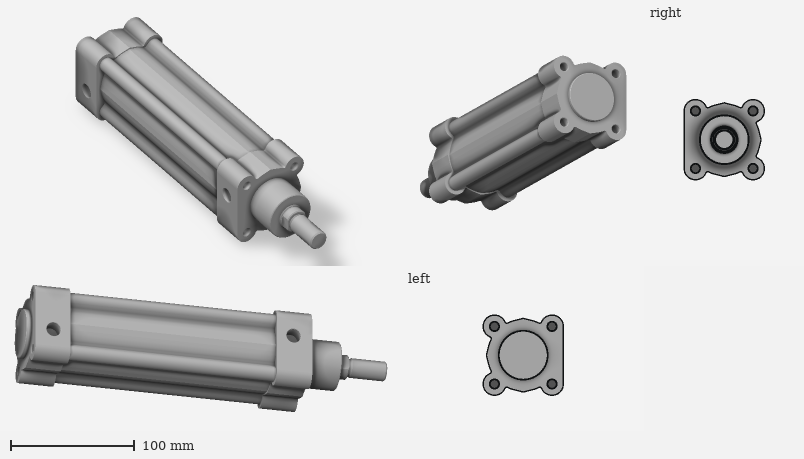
import cadquery as cq
import math


boss_length = 4.0
cap_length = 29.4
caps_overall = 231.0
collar_length = 28.2
shoulder_from_front_cap = 37.0
thread_length = 32.0

rear_cap_start = boss_length
rear_cap_end = rear_cap_start + cap_length
front_cap_end = rear_cap_start + caps_overall
front_cap_start = front_cap_end - cap_length
collar_end = front_cap_end + collar_length
rod_shoulder = front_cap_end + shoulder_from_front_cap
rod_end = rod_shoulder + thread_length

outer_width = 65.0
screw_pitch = 46.5
corner_offset = screw_pitch / 2
corner_radius = math.hypot(corner_offset, corner_offset)

cap_core_radius = 29.0
cap_ridge_half_width = 7.0
cap_lobe_radius = outer_width / 2 - corner_offset
cap_fillet = 1.5

tube_core_radius = 28.0
tube_ridge_half_width = 5.0
tube_lobe_radius = 6.0
tube_fillet = 2.5

boss_diameter = 40.0
boss_chamfer = 0.5
screw_hole_diameter = 7.0
screw_hole_chamfer = 0.5
screw_hole_depth = 16.0
port_diameter = 11.8
port_chamfer = 0.4
port_depth = 12.0
port_from_cap_face = 15.4
port_height = 8.3
collar_chamfer = 0.6
wiper_lip_length = 1.0
wiper_lip_base_diameter = 22.0
wiper_lip_tip_diameter = 20.6

rod_diameter = 20.0
rod_chamfer = 0.8
flat_width = 17.0
flat_length = 7.0
thread_diameter = 16.0
thread_minor_diameter = 14.2
undercut_length = 1.5
thread_lead_in = 1.3


def rotated(point, angle):
    c = math.cos(angle)
    s = math.sin(angle)
    return (c * point[0] - s * point[1], s * point[0] + c * point[1])


def toward(center, target, distance):
    """Point at a distance from center in the direction of target."""
    dx = target[0] - center[0]
    dy = target[1] - center[1]
    length = math.hypot(dx, dy)
    return (center[0] + dx * distance / length, center[1] + dy * distance / length)


def middle(a, b):
    return ((a[0] + b[0]) / 2, (a[1] + b[1]) / 2)


def mirrored(point):
    return (point[0], -point[1])


def four_lobe_bar(x_start, x_end, core_radius, ridge_half_width, lobe_radius, fillet, straight_neck):
    """Bar along X: a round core with a shallow ridge on each side and a lobe on each corner.

    Each quadrant is laid out with its first axis on the diagonal through the lobe.
    A straight neck has parallel sides tangent to the lobe; otherwise the fillet
    runs directly from the core onto the lobe.
    """
    origin = (0, 0)
    lobe_center = (corner_radius, 0)
    core_reach = core_radius + fillet
    lobe_reach = lobe_radius + fillet

    if straight_neck:
        fillet_along = math.sqrt(core_reach**2 - lobe_reach**2)
        fillet_center = (fillet_along, -lobe_reach)
        fillet_end = (fillet_along, -lobe_radius)
        lobe_start = (corner_radius, -lobe_radius)
    else:
        fillet_along = (core_reach**2 - lobe_reach**2 + corner_radius**2) / (2 * corner_radius)
        fillet_center = (fillet_along, -math.sqrt(core_reach**2 - fillet_along**2))
        fillet_end = toward(lobe_center, fillet_center, lobe_radius)
        lobe_start = fillet_end

    ridge_angle = math.asin(ridge_half_width / core_radius)
    ridge_peak = rotated((core_radius / math.cos(ridge_angle), 0), -math.pi / 4)
    ridge_foot = rotated((core_radius, 0), ridge_angle - math.pi / 4)

    core_end = toward(origin, fillet_center, core_radius)
    core_mid = toward(origin, middle(ridge_foot, core_end), core_radius)
    fillet_mid = toward(fillet_center, middle(core_end, fillet_end), fillet)
    lobe_tip = (corner_radius + lobe_radius, 0)

    outline = cq.Workplane("YZ", origin=(x_start, 0, 0)).moveTo(*rotated(ridge_peak, math.pi / 4))
    for quadrant in range(4):
        diagonal = math.pi / 4 + quadrant * math.pi / 2

        def place(point):
            return rotated(point, diagonal)

        outline = outline.lineTo(*place(ridge_foot))
        outline = outline.threePointArc(place(core_mid), place(core_end))
        outline = outline.threePointArc(place(fillet_mid), place(fillet_end))
        if straight_neck:
            outline = outline.lineTo(*place(lobe_start))
        outline = outline.threePointArc(place(lobe_tip), place(mirrored(lobe_start)))
        if straight_neck:
            outline = outline.lineTo(*place(mirrored(fillet_end)))
        outline = outline.threePointArc(place(mirrored(fillet_mid)), place(mirrored(core_end)))
        outline = outline.threePointArc(place(mirrored(core_mid)), place(mirrored(ridge_foot)))
        if quadrant < 3:
            outline = outline.lineTo(*place(mirrored(ridge_peak)))
    return outline.close().extrude(x_end - x_start)


def cylinder(x_start, x_end, diameter):
    return cq.Workplane("YZ", origin=(x_start, 0, 0)).circle(diameter / 2).extrude(x_end - x_start)


def countersunk_hole(mouth, direction, diameter, depth, chamfer):
    """Cutter for a blind hole with a 45 degree chamfer at its mouth."""
    bore = cq.Solid.makeCylinder(diameter / 2, depth, cq.Vector(*mouth), cq.Vector(*direction))
    countersink = cq.Solid.makeCone(
        diameter / 2 + chamfer, diameter / 2, chamfer, cq.Vector(*mouth), cq.Vector(*direction)
    )
    return cq.Workplane(obj=bore.fuse(countersink))


def make_cap_block(x_start, port_x, port_z):
    """Lobed block with a flat -Y side that carries the air port."""
    block = four_lobe_bar(
        x_start,
        x_start + cap_length,
        cap_core_radius,
        cap_ridge_half_width,
        cap_lobe_radius,
        cap_fillet,
        straight_neck=False,
    )
    flat_side = cq.Workplane("XY").box(
        cap_length, outer_width / 2, screw_pitch, centered=(False, False, True)
    ).translate((x_start, -outer_width / 2, 0))
    port_mouth = (port_x, -outer_width / 2, port_z)
    port = countersunk_hole(port_mouth, (0, 1, 0), port_diameter, port_depth, port_chamfer)
    return block.union(flat_side).cut(port)


def cut_screw_holes(cap, face_x, direction):
    """Cut four blind corner holes from a cap face in the given X direction."""
    for y in (-corner_offset, corner_offset):
        for z in (-corner_offset, corner_offset):
            hole = countersunk_hole(
                (face_x, y, z), (direction, 0, 0), screw_hole_diameter, screw_hole_depth, screw_hole_chamfer
            )
            cap = cap.cut(hole)
    return cap


def make_rear_cap():
    block = make_cap_block(rear_cap_start, rear_cap_start + port_from_cap_face, -port_height)
    boss = cylinder(0, rear_cap_start, boss_diameter).faces("<X").chamfer(boss_chamfer)
    return cut_screw_holes(block.union(boss), rear_cap_start, 1)


def make_front_cap():
    block = make_cap_block(front_cap_start, front_cap_end - port_from_cap_face, port_height)
    collar = cylinder(front_cap_end, collar_end, boss_diameter).faces(">X").chamfer(collar_chamfer)
    wiper_lip = (
        cq.Workplane("YZ", origin=(collar_end, 0, 0))
        .circle(wiper_lip_base_diameter / 2)
        .workplane(offset=wiper_lip_length)
        .circle(wiper_lip_tip_diameter / 2)
        .loft()
    )
    rod_bore = cylinder(front_cap_start, collar_end + wiper_lip_length, rod_diameter)
    cap = cut_screw_holes(block.union(collar).union(wiper_lip), front_cap_end, -1)
    return cap.cut(rod_bore)


def make_tube():
    return four_lobe_bar(
        rear_cap_end,
        front_cap_start,
        tube_core_radius,
        tube_ridge_half_width,
        tube_lobe_radius,
        tube_fillet,
        straight_neck=True,
    )


def make_rod():
    """Turned rod with a threaded end behind an undercut, and two wrench flats."""
    rod_radius = rod_diameter / 2
    thread_radius = thread_diameter / 2
    minor_radius = thread_minor_diameter / 2
    thread_start = rod_shoulder + undercut_length
    rod = (
        cq.Workplane("XY")
        .moveTo(front_cap_start, 0)
        .lineTo(front_cap_start, rod_radius)
        .lineTo(rod_shoulder - rod_chamfer, rod_radius)
        .lineTo(rod_shoulder, rod_radius - rod_chamfer)
        .lineTo(rod_shoulder, minor_radius)
        .lineTo(thread_start, minor_radius)
        .lineTo(thread_start + thread_lead_in, thread_radius)
        .lineTo(rod_end - thread_lead_in, thread_radius)
        .lineTo(rod_end, minor_radius)
        .lineTo(rod_end, 0)
        .close()
        .revolve(360, (0, 0, 0), (1, 0, 0))
    )
    for side in (-1, 1):
        flat_cut = cq.Workplane("XY").box(flat_length, rod_diameter, rod_diameter).translate(
            (rod_shoulder - flat_length / 2, side * (flat_width + rod_diameter) / 2, 0)
        )
        rod = rod.cut(flat_cut)
    return rod


rear_cap = make_rear_cap()
tube = make_tube()
front_cap = make_front_cap()
rod = make_rod()

result = cq.Compound.makeCompound([rear_cap.val(), tube.val(), front_cap.val(), rod.val()])